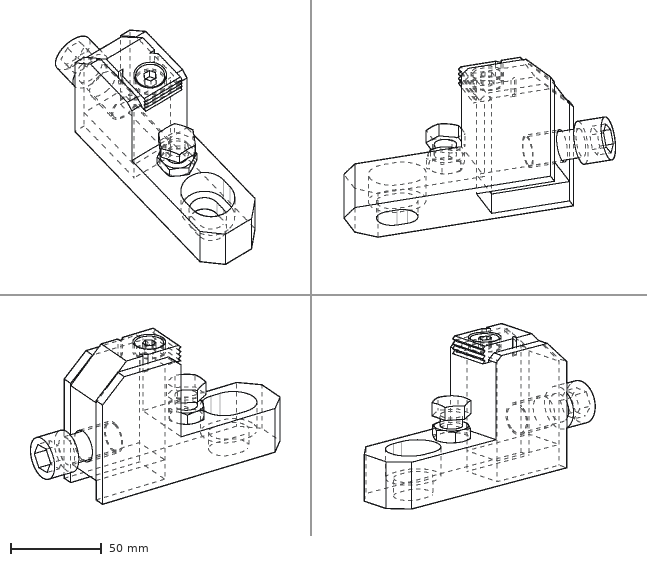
import cadquery as cq
import math


width = 38.0
housing_length = 124.0
tower_length = 52.0
tower_height = 74.7
foot_height = 27.0
front_bevel_length = 14.3
front_bevel_height = 13.5
rear_bevel_length = 4.1
rear_bevel_height = 3.3
foot_corner = 10.0

channel_width = 25.0
cheek = (width - channel_width) / 2
channel_length = tower_length - cheek

slot_x = 96.0
slot_straight = 6.0
slot_width = 17.0
counterbore_width = 26.0
counterbore_depth = 16.8

bolt_x = 68.0
bolt_shank_diameter = 12.4
nut_flats = 19.0
nut_height = 7.0
nut_bevel_height = 0.6
bolt_head_flats = 19.0
bolt_head_bottom = 40.3
bolt_top = 49.8
bolt_dome_radius = 30.2

slider_bottom = 12.0
slider_top = 80.0
slider_bevel = 20.1
jaw_height = 10.0
jaw_tip_x = 56.0
tooth_depth = 1.5
tooth_flanks = 7
notch_x = 31.1
notch_size = 3.2

jaw_screw_x = 43.5
jaw_recess_diameter = 18.0
jaw_screw_diameter = 16.0
jaw_socket_flats = 6.3
jaw_screw_depth = 6.0
jaw_screw_sink = 0.6

screw_z = 28.0
screw_shank_diameter = 16.0
screw_bore_diameter = 18.0
screw_head_diameter = 24.0
screw_head_length = 16.0
screw_overhang = 27.0
screw_bore_depth = 20.0
screw_socket_flats = 14.0
screw_socket_depth = 8.0
screw_turn = 3.5


def across_corners(flats):
    """Corner-to-corner size of a hexagon with the given width across flats."""
    return flats / math.cos(math.radians(30))


def side_profile(points, thickness):
    """Solid with an outline in the XZ plane, centred on Y = 0."""
    return cq.Workplane("XZ").polyline(points).close().extrude(thickness / 2, both=True)


def upright_cylinder(x, diameter, bottom, top):
    return cq.Workplane("XY", origin=(x, 0, bottom)).circle(diameter / 2).extrude(top - bottom)


def upright_hexagon(x, flats, bottom, top, turn=0):
    """Hexagonal prism along Z; unturned, two of its corners lie along X."""
    hexagon = cq.Workplane("XY").polygon(6, across_corners(flats)).extrude(top - bottom)
    return hexagon.rotate((0, 0, 0), (0, 0, 1), turn).translate((x, 0, bottom))


def make_support_bolt():
    """Shank, bevelled lock nut and domed hexagon head, as one piece."""
    shank = upright_cylinder(bolt_x, bolt_shank_diameter, foot_height, bolt_head_bottom)

    nut_top = foot_height + nut_height
    nut_blank = (
        upright_cylinder(bolt_x, across_corners(nut_flats), foot_height, nut_top)
        .faces("<Z or >Z")
        .chamfer(nut_bevel_height, (across_corners(nut_flats) - nut_flats) / 2)
    )
    nut = upright_hexagon(bolt_x, nut_flats, foot_height, nut_top).intersect(nut_blank)

    dome = cq.Workplane("XY").sphere(bolt_dome_radius).translate((bolt_x, 0, bolt_top - bolt_dome_radius))
    head = upright_hexagon(bolt_x, bolt_head_flats, bolt_head_bottom, bolt_top, turn=30).intersect(dome)
    return shank.union(nut).union(head)


def make_housing():
    body = side_profile(
        [
            (0, 0),
            (housing_length, 0),
            (housing_length, foot_height),
            (tower_length, foot_height),
            (tower_length, tower_height - rear_bevel_height),
            (tower_length - rear_bevel_length, tower_height),
            (front_bevel_length, tower_height),
            (0, tower_height - front_bevel_height),
        ],
        width,
    )
    body = body.edges("|Z and >X").chamfer(foot_corner)

    channel = cq.Workplane("XY").box(channel_length, channel_width, tower_height, centered=(False, True, False))
    jaw_bottom = slider_top - jaw_height
    jaw_passage = (
        cq.Workplane("XY", origin=(0, 0, jaw_bottom))
        .box(tower_length, channel_width, jaw_height, centered=(False, True, False))
    )
    body = body.cut(channel).cut(jaw_passage)

    slot_base = cq.Workplane("XY", origin=(slot_x, 0, 0))
    slot = slot_base.slot2D(slot_straight + slot_width, slot_width).extrude(foot_height)
    counterbore = (
        slot_base.workplane(offset=foot_height)
        .slot2D(slot_straight + counterbore_width, counterbore_width)
        .extrude(-counterbore_depth)
    )
    return body.cut(slot).cut(counterbore).union(make_support_bolt())


def make_slider():
    jaw_bottom = slider_top - jaw_height
    flank_height = jaw_height / tooth_flanks
    teeth = [
        (jaw_tip_x - tooth_depth * ((i + 1) % 2), slider_top - i * flank_height)
        for i in range(tooth_flanks + 1)
    ]
    body = side_profile(
        [(0, slider_bottom), (0, slider_top - slider_bevel), (slider_bevel, slider_top)]
        + teeth
        + [(channel_length, jaw_bottom), (channel_length, slider_bottom)],
        channel_width,
    )

    for side in (-1, 1):
        edge_y = side * channel_width / 2
        notch = (
            cq.Workplane("XY", origin=(0, 0, jaw_bottom))
            .moveTo(notch_x, edge_y)
            .lineTo(notch_x + notch_size, edge_y)
            .lineTo(notch_x, edge_y - side * notch_size)
            .close()
            .extrude(jaw_height)
        )
        body = body.cut(notch)

    recess_floor = slider_top - jaw_screw_depth
    recess = upright_cylinder(jaw_screw_x, jaw_recess_diameter, recess_floor, slider_top)
    head_top = slider_top - jaw_screw_sink
    head = upright_cylinder(jaw_screw_x, jaw_screw_diameter, recess_floor, head_top)
    socket = upright_hexagon(jaw_screw_x, jaw_socket_flats, recess_floor, head_top, turn=30)

    bore = cq.Workplane("YZ", origin=(0, 0, screw_z)).circle(screw_bore_diameter / 2).extrude(screw_bore_depth)
    return body.cut(recess.cut(head)).cut(socket).cut(bore)


def make_clamping_screw():
    """Socket-head screw along X whose end stands on the floor of the slider's bore."""
    head_end = cq.Workplane("YZ", origin=(-screw_overhang, 0, 0))
    head = head_end.circle(screw_head_diameter / 2).extrude(screw_head_length)
    shank = head_end.circle(screw_shank_diameter / 2).extrude(screw_overhang + screw_bore_depth)
    socket = head_end.polygon(6, across_corners(screw_socket_flats)).extrude(screw_socket_depth)
    screw = head.union(shank).cut(socket)
    return screw.rotate((0, 0, 0), (1, 0, 0), -screw_turn).translate((0, 0, screw_z))


housing = make_housing()
slider = make_slider()
clamping_screw = make_clamping_screw()

result = cq.Compound.makeCompound([housing.val(), slider.val(), clamping_screw.val()])